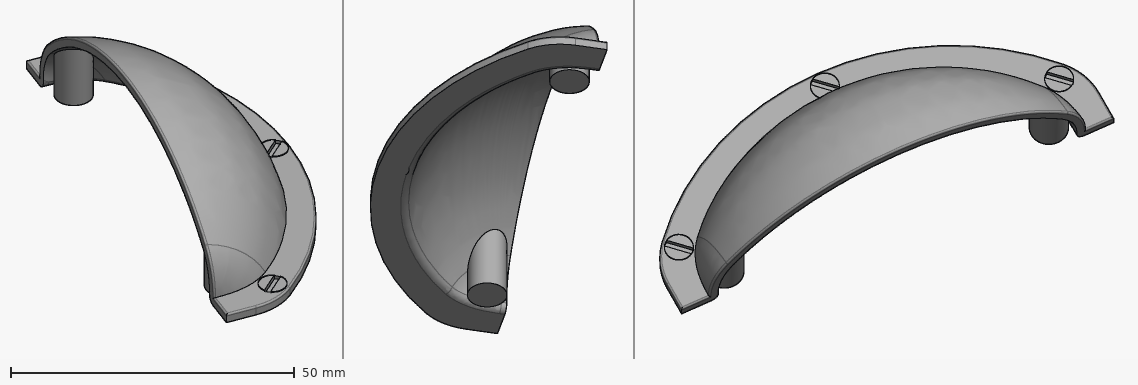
import cadquery as cq
import math

LENGTH = 85.2
DEPTH = 31.5
FLANGE_BACK_RADIUS = 52.8
FLANGE_CORNER_RADIUS = 11.9
FLANGE_THICKNESS = 1.8
EDGE_ROUND = 0.3

HEIGHT = 25.3
AXIS_Y = -4.85
AXIS_Z = -6.8
DOME_HALF_WIDTH = 37.15
DOME_CROWN_RADIUS = 47.6
DOME_CORNER_RADIUS = 11.9
WALL = 1.8
INNER_FLARE = 1.45
CROWN_REACH = math.hypot(AXIS_Y, HEIGHT - AXIS_Z)

POST_DIAMETER = 7.0
POST_SPACING = 64.0
POST_Y = 4.35

SCREW_DIAMETER = 5.1
SCREW_RISE = 0.2
SLOT_WIDTH = 1.2
SLOT_DEPTH = 0.7
SLOT_ANGLE = -45.0
SIDE_SCREW_X = 37.5
SIDE_SCREW_Y = 11.25
BACK_SCREW_Y = 28.5


def arched_outline(half_width, crown, crown_radius, corner_radius):
    """Straight base on the X axis, upright ends, tangent corners and a crowned top."""
    crown_center = crown - crown_radius
    corner_x = half_width - corner_radius
    rise = math.sqrt((crown_radius - corner_radius) ** 2 - corner_x**2)
    corner_y = crown_center + rise
    tangent_angle = math.atan2(rise, corner_x)

    def corner_point(angle):
        return (
            corner_x + corner_radius * math.cos(angle),
            corner_y + corner_radius * math.sin(angle),
        )

    corner_mid = corner_point(tangent_angle / 2)
    corner_end = corner_point(tangent_angle)
    return (
        cq.Workplane("XY")
        .moveTo(-half_width, 0)
        .lineTo(half_width, 0)
        .lineTo(half_width, corner_y)
        .threePointArc(corner_mid, corner_end)
        .threePointArc((0, crown), (-corner_end[0], corner_end[1]))
        .threePointArc((-corner_mid[0], corner_mid[1]), (-half_width, corner_y))
        .close()
    )


def dome_solid(inset):
    """Solid dome, shrunk by inset and kept behind Y = 0 and above Z = 0."""
    outline = arched_outline(
        DOME_HALF_WIDTH - inset,
        CROWN_REACH - inset,
        DOME_CROWN_RADIUS - inset,
        DOME_CORNER_RADIUS - inset,
    )
    dome = outline.revolve(180, (0, 0, 0), (1, 0, 0)).translate((0, AXIS_Y, AXIS_Z))
    keep = cq.Workplane("XY").box(LENGTH, DEPTH, HEIGHT * 2, centered=(True, False, False))
    return dome.intersect(keep)


def post(x):
    return cq.Workplane("XY").center(x, POST_Y).circle(POST_DIAMETER / 2).extrude(HEIGHT)


def screw_head(x, y):
    return cq.Workplane("XY").center(x, y).circle(SCREW_DIAMETER / 2).extrude(FLANGE_THICKNESS + SCREW_RISE)


def screw_slot(x, y):
    slot = cq.Workplane("XY").rect(SCREW_DIAMETER, SLOT_WIDTH).extrude(SLOT_DEPTH + SCREW_RISE)
    slot = slot.intersect(cq.Workplane("XY").circle(SCREW_DIAMETER / 2).extrude(HEIGHT))
    return slot.rotate((0, 0, 0), (0, 0, 1), SLOT_ANGLE).translate((x, y, FLANGE_THICKNESS - SLOT_DEPTH))


flange = arched_outline(LENGTH / 2, DEPTH, FLANGE_BACK_RADIUS, FLANGE_CORNER_RADIUS)
flange = flange.extrude(FLANGE_THICKNESS).faces(">Z").edges().fillet(EDGE_ROUND)
outer_dome = dome_solid(0).faces("<Y").edges("not(<Z)").fillet(EDGE_ROUND)
inner_dome = dome_solid(WALL)
body = flange.union(outer_dome).cut(inner_dome)

hollow_half_width = DOME_HALF_WIDTH - WALL / 2
hollow_zone = cq.selectors.BoxSelector(
    (-hollow_half_width, -INNER_FLARE, -INNER_FLARE),
    (hollow_half_width, DEPTH - SCREW_DIAMETER, INNER_FLARE),
    boundingbox=True,
)
body = body.faces("<Z").edges(hollow_zone).fillet(INNER_FLARE)

for side in (-1, 1):
    body = body.union(post(side * POST_SPACING / 2).intersect(outer_dome))

screw_places = [(-SIDE_SCREW_X, SIDE_SCREW_Y), (0, BACK_SCREW_Y), (SIDE_SCREW_X, SIDE_SCREW_Y)]
for x, y in screw_places:
    body = body.union(screw_head(x, y).cut(inner_dome)).cut(screw_slot(x, y))

result = body